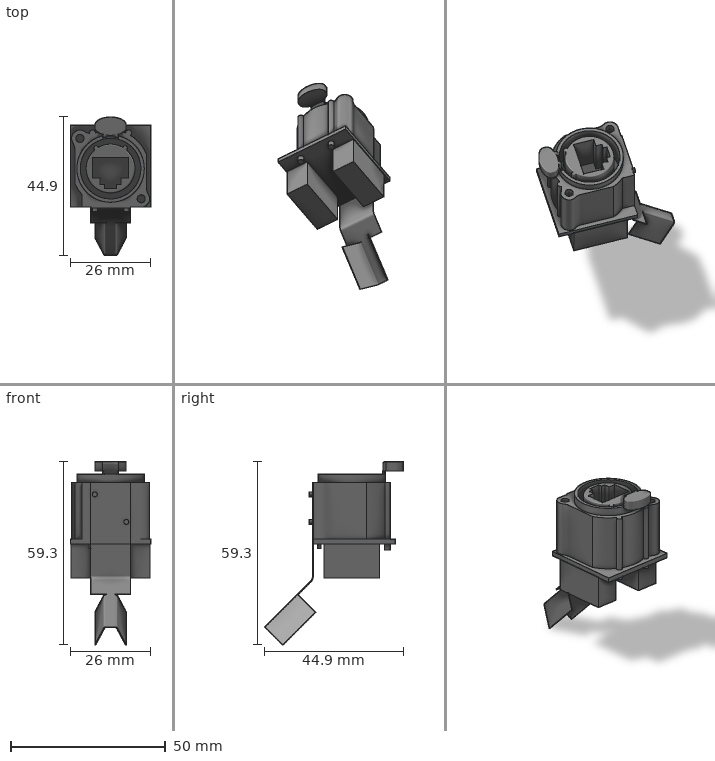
import cadquery as cq
import math


housing_height = 18.4
round_radius = 12.5
flat_half_width = 11.55
front_y = -12.45
left_wall_x = -9.25
lug_x = 9.9
lug_radius = 2.7
lug_y = -front_y - lug_radius
lug_hole_diameter = 2.6
lug_blend_radius = 4.0

plate_width = 26.0
plate_back_y = 14.05
plate_thickness = 1.6
plate_bottom_z = -housing_height - plate_thickness
block_width = 25.6
block_depth = 18.0
block_height = 11.0
slot_width = 10.0

rear_pin_x = 5.85
rear_pin_y = 11.5
rear_pin_radius = 0.98
rear_pin_projection = 1.9
small_pin_x = -6.5
small_pin_y = -10.5
small_pin_radius = 0.55
small_pin_projection = 1.45

ring_height = 2.65
ring_radius = 10.9
ring_bore_radius = 9.8
socket_radius = 7.9
socket_edge_radius = 0.4
groove_depth = 10.0
key_x = 4.7
key_y = 6.6
key_radius = 0.75

jack_top_y = 3.65
jack_steps = [(5.85, -3.1), (3.4, -5.15), (1.95, -6.4)]
jack_depth = 14.0

latch_top_z = 6.7
latch_cap_thickness = 3.05
latch_cap_half_width = 5.05
latch_back_centre_y = 14.1
latch_back_bulge = 2.6
latch_front_centre_y = 13.2
latch_front_bulge = 2.45
latch_neck_radius = 0.3
latch_edge_radius = 0.2
latch_arm_width = 5.12
latch_arm_inner_radius = 10.25
latch_arm_bend_radius = 0.7

sheet_thickness = 0.3
spring_width = 12.9
spring_bend_angle = 45.0
spring_corner_z = -31.3
spring_bend_radius = 2.3
spring_tip_y = -28.17
channel_length = 15.0
channel_flat_width = 2.72
channel_fold_radius = 0.95
channel_depth = 8.25
channel_half_width = 5.1

stud_radius = 0.8
stud_length = 1.05
stud_positions = [(-5.09, -3.9), (5.09, -12.8)]


def box(x_min, x_max, y_min, y_max, z_min, z_max):
    size = (x_max - x_min, y_max - y_min, z_max - z_min)
    return cq.Workplane("XY").box(*size, centered=False).translate((x_min, y_min, z_min))


def cylinder(x, y, radius, z_min, z_max):
    return cq.Workplane("XY", origin=(x, y, z_min)).circle(radius).extrude(z_max - z_min)


def make_housing():
    z_min = -housing_height
    body = cylinder(0, 0, round_radius, z_min, 0)
    flats = box(-flat_half_width, flat_half_width, front_y, round_radius, z_min, 0)
    body = body.intersect(flats)
    body = body.union(box(left_wall_x, lug_x, front_y, 0, z_min, 0))

    lugs = [(-lug_x, lug_y), (lug_x, -lug_y)]
    for x, y in lugs:
        body = body.union(cylinder(x, y, lug_radius, z_min, 0))
    body = body.union(box(-flat_half_width, -lug_x, 0, lug_y, z_min, 0))
    body = body.union(box(lug_x, flat_half_width, -lug_y, 0, z_min, 0))

    wall_offset = math.sqrt(lug_radius**2 - (flat_half_width - lug_x) ** 2)
    lug_distance = math.hypot(lug_x, lug_y)
    turn = math.acos(
        (round_radius**2 + lug_distance**2 - lug_radius**2) / (2 * round_radius * lug_distance)
    )
    round_angle = math.atan2(lug_y, -lug_x) - turn
    corners = [
        (-flat_half_width, lug_y - wall_offset),
        (flat_half_width, wall_offset - lug_y),
        (round_radius * math.cos(round_angle), round_radius * math.sin(round_angle)),
    ]
    for x, y in corners:
        corner_edge = cq.selectors.NearestToPointSelector((x, y, z_min / 2))
        body = body.edges("|Z").edges(corner_edge).fillet(lug_blend_radius)

    for x, y in lugs:
        body = body.cut(cylinder(x, y, lug_hole_diameter / 2, z_min, 0))
    return body


def make_rear():
    half_width = plate_width / 2
    rear = box(-half_width, half_width, front_y, plate_back_y, plate_bottom_z, -housing_height)
    block_bottom_z = plate_bottom_z - block_height
    for x_min, x_max in [(-block_width / 2, -slot_width / 2), (slot_width / 2, block_width / 2)]:
        half_block = box(x_min, x_max, -block_depth / 2, block_depth / 2, block_bottom_z, plate_bottom_z)
        rear = rear.union(half_block)
    for x in (-rear_pin_x, rear_pin_x):
        pin_end_z = plate_bottom_z - rear_pin_projection
        rear = rear.union(cylinder(x, rear_pin_y, rear_pin_radius, pin_end_z, 0))
    pin_end_z = plate_bottom_z - small_pin_projection
    return rear.union(cylinder(small_pin_x, small_pin_y, small_pin_radius, pin_end_z, plate_bottom_z))


def add_socket(body):
    groove_bottom_z = ring_height - groove_depth
    body = body.union(cylinder(0, 0, ring_radius, 0, ring_height))
    body = body.cut(cylinder(0, 0, ring_bore_radius, groove_bottom_z, ring_height))

    socket = cylinder(0, 0, socket_radius, groove_bottom_z, ring_height)
    for x in (-key_x, key_x):
        socket = socket.union(cylinder(x, key_y, key_radius, groove_bottom_z, ring_height))
    socket = socket.faces(">Z").edges().fillet(socket_edge_radius)
    body = body.union(socket)

    step_top_y = jack_top_y
    for half_width, step_bottom_y in jack_steps:
        step = box(-half_width, half_width, step_bottom_y, step_top_y,
                   ring_height - jack_depth, ring_height)
        body = body.cut(step)
        step_top_y = step_bottom_y
    return body


def make_latch():
    cap_bottom_z = latch_top_z - latch_cap_thickness
    half_width = latch_arm_width / 2

    cap = (
        cq.Workplane("XY", origin=(0, 0, cap_bottom_z))
        .moveTo(latch_cap_half_width, latch_front_centre_y)
        .lineTo(latch_cap_half_width, latch_back_centre_y)
        .ellipseArc(latch_cap_half_width, latch_back_bulge, 0, 180)
        .lineTo(-latch_cap_half_width, latch_front_centre_y)
        .ellipseArc(latch_cap_half_width, latch_front_bulge, 180, 360)
        .close()
        .extrude(latch_cap_thickness)
    )

    neck = box(-half_width, half_width, 0, latch_front_centre_y, cap_bottom_z, latch_top_z)
    neck = neck.cut(cylinder(0, 0, latch_arm_inner_radius, cap_bottom_z, latch_top_z))
    inner_edge = cq.selectors.NearestToPointSelector((0, latch_arm_inner_radius, latch_top_z))
    neck = neck.faces(">Z").edges(inner_edge).fillet(latch_arm_bend_radius)
    cap = cap.union(neck)
    neck_ratio = half_width / latch_cap_half_width
    neck_corner_y = latch_front_centre_y - latch_front_bulge * math.sqrt(1 - neck_ratio**2)
    for x in (-half_width, half_width):
        neck_corner = cq.selectors.NearestToPointSelector((x, neck_corner_y, cap_bottom_z))
        cap = cap.edges("|Z").edges(neck_corner).fillet(latch_neck_radius)
    cap = cap.faces(">Z").edges(">Y").fillet(latch_edge_radius)

    arm = cylinder(0, 0, ring_radius, 0, cap_bottom_z)
    arm = arm.cut(cylinder(0, 0, latch_arm_inner_radius, 0, cap_bottom_z))
    arm = arm.intersect(box(-half_width, half_width, 0, ring_radius, 0, cap_bottom_z))
    return cap.union(arm)


def make_spring():
    outer_y = front_y - sheet_thickness
    angle = math.radians(spring_bend_angle)
    run_length = (outer_y - spring_tip_y) / math.sin(angle)
    wide_length = run_length - channel_length

    inner_shift = sheet_thickness * math.tan(angle / 2)
    inner_corner_z = spring_corner_z - inner_shift
    wide_end_y = outer_y - wide_length * math.sin(angle)
    wide_end_z = spring_corner_z - wide_length * math.cos(angle)
    strip = (
        cq.Workplane("YZ")
        .polyline([
            (front_y, 0),
            (outer_y, 0),
            (outer_y, spring_corner_z),
            (wide_end_y, wide_end_z),
            (wide_end_y + sheet_thickness * math.cos(angle),
             wide_end_z - sheet_thickness * math.sin(angle)),
            (front_y, inner_corner_z),
        ])
        .close()
        .extrude(spring_width / 2, both=True)
    )
    outer_bend = cq.selectors.NearestToPointSelector((0, outer_y, spring_corner_z))
    strip = strip.edges("|X").edges(outer_bend).fillet(spring_bend_radius)
    inner_bend = cq.selectors.NearestToPointSelector((0, front_y, inner_corner_z))
    strip = strip.edges("|X").edges(inner_bend).fillet(spring_bend_radius + sheet_thickness)
    return strip.union(make_channel(wide_end_y, wide_end_z, angle))


def make_channel(start_y, start_z, angle):
    """Folded channel running down the slope: a narrow flat with two flared wings."""
    slope = cq.Plane(
        origin=(0, start_y, start_z),
        xDir=(1, 0, 0),
        normal=(0, -math.sin(angle), -math.cos(angle)),
    )
    half_flat = channel_flat_width / 2
    fold_centre = (half_flat, -channel_fold_radius)

    edge_dx = channel_half_width - fold_centre[0]
    edge_dy = -channel_depth - fold_centre[1]
    edge_distance = math.hypot(edge_dx, edge_dy)
    fold_end = math.atan2(edge_dy, edge_dx) + math.acos(channel_fold_radius / edge_distance)
    fold_middle = (math.pi / 2 + fold_end) / 2
    inner_radius = channel_fold_radius - sheet_thickness

    def fold_point(radius, direction):
        return (
            fold_centre[0] + radius * math.cos(direction),
            fold_centre[1] + radius * math.sin(direction),
        )

    wing_edge = (channel_half_width, -channel_depth)
    wing_edge_inner = (
        channel_half_width - sheet_thickness * math.cos(fold_end),
        -channel_depth - sheet_thickness * math.sin(fold_end),
    )
    half_channel = (
        cq.Workplane(slope)
        .moveTo(0, 0)
        .lineTo(half_flat, 0)
        .threePointArc(
            fold_point(channel_fold_radius, fold_middle),
            fold_point(channel_fold_radius, fold_end),
        )
        .lineTo(*wing_edge)
        .lineTo(*wing_edge_inner)
        .lineTo(*fold_point(inner_radius, fold_end))
        .threePointArc(fold_point(inner_radius, fold_middle), (half_flat, -sheet_thickness))
        .lineTo(0, -sheet_thickness)
        .close()
        .extrude(channel_length)
    )
    return half_channel.union(half_channel.mirror("YZ"))


def make_studs():
    stud_base_y = front_y - sheet_thickness
    return (
        cq.Workplane("XZ", origin=(0, stud_base_y, 0))
        .pushPoints(stud_positions)
        .circle(stud_radius)
        .extrude(stud_length)
    )


result = add_socket(make_housing().union(make_rear()))
result = result.union(make_latch()).union(make_spring()).union(make_studs())